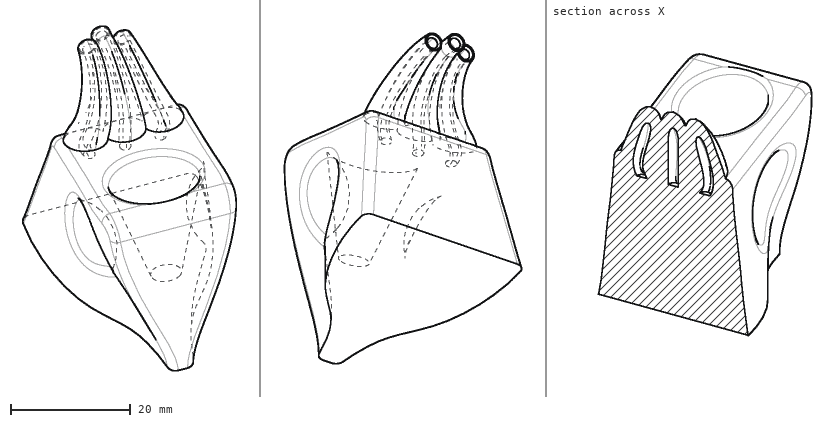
import cadquery as cq
import math


BASE_LENGTH = 39.45
FRONT_CORNER = (4.8, 26.32)
REAR_CORNER = (34.95, 37.23)
FRONT_EDGE_RADIUS = 3.48
REAR_EDGE_RADIUS = 3.25
SIDE_EDGE_RADIUS = 1.5
PROFILE_HALF_WIDTH = 21.7

SIDE_STATIONS = {
    0.0: [(-1.75, 15.07), (11.75, 14.35), (22.6, 10), (29.1, 5.2), (33.9, 3.3), (42.55, 1.75)],
    8.7: [(-1.75, 14.05), (11.75, 13.35), (22.6, 10.1), (29.1, 6.1), (33.9, 5.0), (42.55, 3.9)],
    17.38: [(-1.75, 12.73), (11.75, 12.45), (22.6, 10.85), (29.1, 8.9), (33.9, 8.05), (42.55, 6.5)],
    26.05: [(-1.75, 11.77), (11.75, 11.77), (22.6, 11.65), (29.1, 11.3), (33.9, 10.43), (42.55, 6.5)],
    34.75: [(-1.75, 11.77), (11.75, 11.77), (22.6, 11.77), (29.1, 11.77), (33.9, 11.3), (42.55, 5.65)],
    43.45: [(-1.75, 11.77), (11.75, 11.77), (22.6, 11.77), (29.1, 11.77), (33.9, 11.5), (42.55, 6.5)],
}

HOLLOW_CENTRE = (23.02, 14.35, 18.9)
HOLLOW_HALF_SIZE = (18.5, 18.0, 21.0)
HOLLOW_TILT = 20.0
HOLLOW_RIM_RADIUS = 1.75

FUNNEL_X = 24.1
FUNNEL_MOUTH_RADIUS = 7.7
FUNNEL_FLOOR_RADIUS = 2.6
FUNNEL_DEPTH = 19.1
FUNNEL_RIM_RADIUS = 0.95

PIPE_FOOT_Z = 23.9
PIPE_BEND_Z = 29.9
PIPE_BEND_RADIUS = 9.1
PIPE_BEND_ANGLE = 99.0
PIPE_FOOT_RADIUS = 3.4
PIPE_TIP_RADIUS = 1.6
BEND_SECTIONS = 6
BORE_RADIUS = 0.95
SINK_RADIUS = 1.35
SINK_DEPTH = 0.45
CENTRE_PIPE_X = 9.15
CENTRE_TIP_LENGTH = 2.45
OUTER_PIPE_X = 9.0
OUTER_FOOT_Y = 6.25
OUTER_TIP_Y = 3.1


def make_block():
    """Side profile trimmed by the lofted side walls, with both side outlines rounded."""
    outline = [(0, 0), FRONT_CORNER, REAR_CORNER, (BASE_LENGTH, 0)]
    profile = cq.Workplane("XZ").polyline(outline).close().extrude(PROFILE_HALF_WIDTH, both=True)
    profile = profile.edges("|Y and >Z").fillet(REAR_EDGE_RADIUS)
    front_edge = cq.selectors.NearestToPointSelector((FRONT_CORNER[0], 0, FRONT_CORNER[1]))
    profile = profile.edges("|Y").edges(front_edge).fillet(FRONT_EDGE_RADIUS)
    walls = cq.Solid.makeLoft([wall_section(z, pts) for z, pts in SIDE_STATIONS.items()])
    block = profile.intersect(cq.Workplane(walls))
    return block.faces("%BSPLINE").edges("not <Z").fillet(SIDE_EDGE_RADIUS)


def wall_section(height, points):
    """Closed plan outline at one height, mirrored about Y = 0."""
    near = [cq.Vector(x, -y, height) for x, y in points]
    far = [cq.Vector(x, y, height) for x, y in reversed(points)]
    return cq.Wire.assembleEdges([
        cq.Edge.makeSpline(near),
        cq.Edge.makeLine(near[-1], far[0]),
        cq.Edge.makeSpline(far),
        cq.Edge.makeLine(far[-1], near[0]),
    ])


def make_funnel():
    """Tapered well, square to the sloped top, with a rounded rim."""
    rise = (REAR_CORNER[1] - FRONT_CORNER[1]) / (REAR_CORNER[0] - FRONT_CORNER[0])
    slope = math.atan(rise)
    centre_z = FRONT_CORNER[1] + (FUNNEL_X - FRONT_CORNER[0]) * rise
    return (
        cq.Workplane("XZ")
        .moveTo(0, 0)
        .lineTo(FUNNEL_MOUTH_RADIUS + FUNNEL_RIM_RADIUS, 0)
        .radiusArc((FUNNEL_MOUTH_RADIUS, -FUNNEL_RIM_RADIUS), -FUNNEL_RIM_RADIUS)
        .lineTo(FUNNEL_FLOOR_RADIUS, -FUNNEL_DEPTH)
        .lineTo(0, -FUNNEL_DEPTH)
        .close()
        .revolve(360, (0, 0), (0, 1))
        .rotate((0, 0, 0), (0, 1, 0), -math.degrees(slope))
        .translate((FUNNEL_X, 0, centre_z))
    )


def cut_thumb_hollow(block, side):
    """Ellipsoidal hollow with a rounded rim in the side wall at -Y (side -1) or +Y (side 1)."""
    half_x, half_y, half_z = HOLLOW_HALF_SIZE
    x, y, z = HOLLOW_CENTRE
    ball = cq.Workplane().sphere(0.45).val()
    stretch = cq.Matrix([[half_x, 0, 0, 0], [0, half_y, 0, 0], [0, 0, half_z, 0]])
    ellipsoid = (
        cq.Workplane(ball.transformGeometry(stretch))
        .rotate((0, 0, 0), (0, 1, 0), HOLLOW_TILT)
        .translate((x, side * y, z))
    )
    rim = cq.selectors.NearestToPointSelector((x, side * y, z))
    return block.cut(ellipsoid).edges(rim).fillet(HOLLOW_RIM_RADIUS)


def hook(foot_x, foot_y, tip_y, tip_length, foot_radius, tip_radius):
    """Round hook with a straight foot, a bend drifting to tip_y and a straight tip.

    Returns the solid, the centre of its end face and the outward direction there.
    """
    bend_x = foot_x - PIPE_BEND_RADIUS
    foot = cq.Vector(foot_x, foot_y, PIPE_FOOT_Z)
    sections = [cq.Wire.makeCircle(foot_radius, foot, cq.Vector(0, 0, 1))]
    for step in range(BEND_SECTIONS + 1):
        share = step / BEND_SECTIONS
        angle = math.radians(PIPE_BEND_ANGLE) * share
        centre = cq.Vector(
            bend_x + PIPE_BEND_RADIUS * math.cos(angle),
            foot_y + (tip_y - foot_y) * math.sin(math.pi / 2 * share),
            PIPE_BEND_Z + PIPE_BEND_RADIUS * math.sin(angle),
        )
        direction = cq.Vector(-math.sin(angle), 0, math.cos(angle))
        radius = foot_radius + (tip_radius - foot_radius) * share
        sections.append(cq.Wire.makeCircle(radius, centre, direction))
    solid = cq.Workplane(cq.Solid.makeLoft(sections))
    if tip_length > 0:
        tip = cq.Solid.makeCylinder(tip_radius, tip_length, centre, direction)
        solid = solid.union(cq.Workplane(tip))
    return solid, centre + direction * tip_length, direction


def make_pipe(*path):
    """Tapered pipe along the hook given by path, and the matching countersunk bore."""
    pipe, end, direction = hook(*path, PIPE_FOOT_RADIUS, PIPE_TIP_RADIUS)
    bore = hook(*path, BORE_RADIUS, BORE_RADIUS)[0]
    sink = cq.Solid.makeCone(SINK_RADIUS, BORE_RADIUS, SINK_DEPTH, end, -direction)
    return pipe, bore.union(cq.Workplane(sink))


block = make_block()
for side in (-1, 1):
    block = cut_thumb_hollow(block, side)

pipes = [make_pipe(CENTRE_PIPE_X, 0, 0, CENTRE_TIP_LENGTH)]
for side in (-1, 1):
    pipes.append(make_pipe(OUTER_PIPE_X, side * OUTER_FOOT_Y, side * OUTER_TIP_Y, 0))

result = block.cut(make_funnel())
for pipe, bore in pipes:
    result = result.union(pipe)
for pipe, bore in pipes:
    result = result.cut(bore)